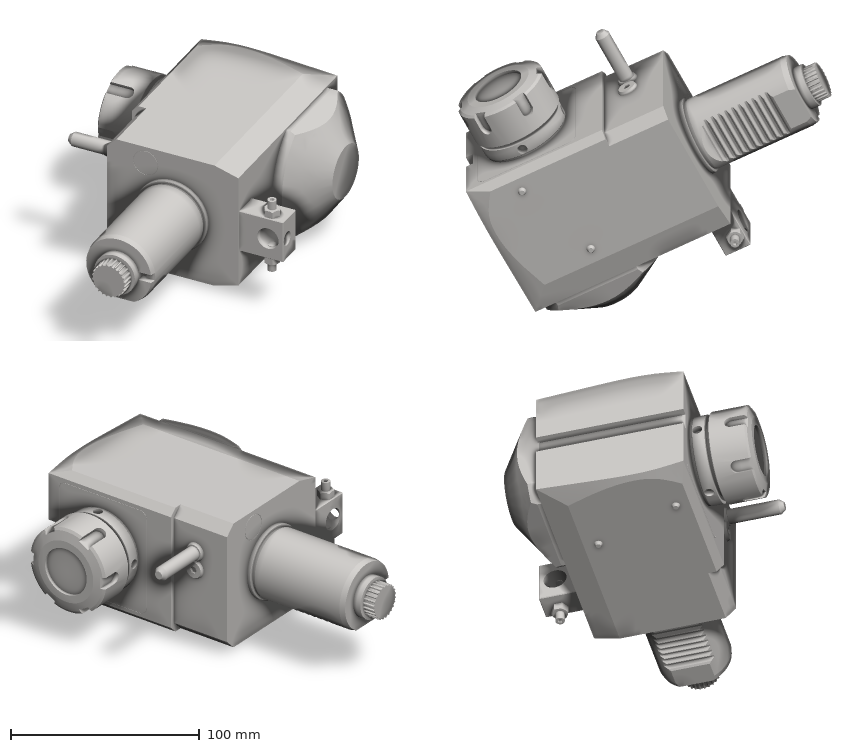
import cadquery as cq
import math


half_height = 37.5
rear_left, block_right = -42.0, 39.0
front_left = -39.2
rear_face = 116.0
step_y = 35.0
front_chamfer = 5.7
rear_chamfer = 4.0
taper_start_x = 24.8
shoulder_z = half_height - rear_chamfer
rounding_run = 12.6
top_back_curve = [(-32.7, 107.0), (-24.8, 110.8), (-14.1, 112.3), (2.0, 110.4), (12.5, 107.5)]
low_back_curve = [(-36.3, 119.2), (-27.7, 123.2), (-15.3, 125.0), (4.8, 123.0), (19.1, 120.3)]
notch_width, notch_depth = 10.5, 4.4
panel_length, panel_height, panel_radius = 58.3, 62.6, 4.8
panel_center_y = 79.8
line_width, line_depth = 0.4, 0.2
plug_x, plug_z, plug_radius = -16.0, 27.7, 7.5

spindle_y = 80.0
nut_tip_x, nut_face_radius = -74.7, 18.1
nut_bevel_x, nut_bevel_radius = -73.3, 23.5
nut_rim_x = -72.4
nut_radius = 25.0
nut_end_x = -52.5
neck_radius = 20.2
collar_start_x, collar_end_x, collar_radius = -50.2, -43.2, 24.0
bore_radius, bore_depth = 13.8, 2.0
slot_width, slot_floor_radius = 6.9, 22.0
slot_end_x, long_slot_end_x = -61.5, -57.5
nut_edge, collar_edge = 0.4, 0.4
wrench_hole_count, wrench_hole_radius, wrench_hole_x, wrench_hole_depth = 4, 2.7, -46.5, 3.8

cap_radius, cap_tip_radius = 40.3, 15.5
cap_rim_x, cap_tip_x = 44.7, 62.0
cap_trim_y = 112.1
cap_trim_x, cap_trim_z, cap_trim_slope = 41.5, 32.5, 0.28

shank_radius = 20.0
shank_end = -63.2
flange_radius, flange_end, flange_edge = 21.4, -2.3, 0.4
relief_radius, relief_end = 19.7, -4.0
shank_chamfer_length, shank_end_radius = 3.2, 19.3
boss_radius, boss_end = 12.0, -68.0
spline_root_radius, spline_tip_radius, spline_end = 9.2, 10.0, -75.0
spline_count = 24
root_share, tip_share = 0.5, 0.2
rack_z, rack_floor_z, rack_end_z = -16.2, -14.5, -17.0
rack_start, rack_end = -9.0, -50.6
rack_pitch, rack_count, first_gap_y = 4.0, 10, -11.7
gap_floor_width, gap_mouth_width = 1.1, 3.6
key_width, key_depth, key_step_x, key_step_depth = 4.8, 3.2, 14.9, 1.5

side_y = 21.0
pin_z, pin_radius, pin_tip_x, pin_tip_radius = 16.0, 4.0, -71.6, 2.3
pin_chamfer = 2.5
seat_radius, seat_top_radius, seat_height = 5.5, 4.8, 1.7
screw_z = 5.7
screw_socket, screw_socket_depth = 4.2, 1.3

bracket_right, bracket_near, bracket_far = 65.0, 1.1, 16.0
bracket_half_height = 12.5
bracket_edge = 0.4
bracket_bore_x, bracket_bore_radius = 56.0, 6.3
cross_hole_radius = 4.0
set_screw_y, set_screw_radius, set_screw_bottom, set_screw_top = 6.0, 2.5, 6.0, 21.8
lock_nut_corners, lock_nut_height, lock_nut_chamfer = 9.4, 4.2, 0.5
set_screw_socket, set_screw_socket_depth = 2.7, 2.0

stud_places = [(-30.4, 88.5), (16.8, 71.6)]
stud_radius, stud_tip_radius, stud_height = 2.3, 1.3, 1.7

embed = 1.0


def turned_x(points, y, z):
    """Revolve (x, radius) points about a line parallel to X."""
    outline = [(points[0][0], 0)] + points + [(points[-1][0], 0)]
    return cq.Workplane("XY", origin=(0, y, z)).polyline(outline).close().revolve(360, (0, 0, 0), (1, 0, 0))


def turned_y(points):
    """Revolve (radius, y) points about the shank axis."""
    outline = [(0, points[0][1])] + points + [(0, points[-1][1])]
    return cq.Workplane("XY").polyline(outline).close().revolve(360, (0, 0, 0), (0, 1, 0))


def box(x0, x1, y0, y1, z0, z1):
    return cq.Workplane("XY").box(x1 - x0, y1 - y0, z1 - z0, centered=False).translate((x0, y0, z0))


def rounded_slab():
    """Top slab of the rear housing: chamfered left, tapered right, rounded at the back."""
    chamfer_x = rear_left + rear_chamfer
    top_back_end = taper_start_x, rear_face - rounding_run
    return (
        cq.Workplane("XY", origin=(0, 0, shoulder_z))
        .moveTo(rear_left, step_y)
        .lineTo(rear_left, rear_face)
        .spline(low_back_curve + [(block_right, rear_face)], includeCurrent=True)
        .lineTo(block_right, step_y)
        .close()
        .workplane(offset=rear_chamfer)
        .moveTo(chamfer_x, step_y)
        .lineTo(chamfer_x, rear_face - rounding_run)
        .spline(top_back_curve + [top_back_end], includeCurrent=True)
        .lineTo(taper_start_x, step_y)
        .close()
        .loft(ruled=True)
        .intersect(box(rear_left, block_right, step_y, rear_face, 0, half_height))
    )


def front_block():
    side = front_left + front_chamfer
    inner = half_height - front_chamfer
    return (
        cq.Workplane("XZ")
        .polyline([
            (front_left, -inner), (side, -half_height), (taper_start_x, -half_height),
            (block_right, -shoulder_z), (block_right, shoulder_z), (taper_start_x, half_height),
            (side, half_height), (front_left, inner),
        ])
        .close()
        .extrude(-step_y)
    )


def housing():
    top = rounded_slab()
    core = box(rear_left, block_right, step_y, rear_face, -shoulder_z, shoulder_z)
    body = front_block().union(core).union(top).union(top.mirror("XY"))
    notch = box(rear_left, block_right, rear_face - notch_depth, rear_face, -notch_width / 2, notch_width / 2)
    return body.cut(notch).cut(panel_line()).cut(plug_line())


def panel_line():
    """Thin rounded-rectangle groove around the spindle on the left face."""
    def plate(inset):
        return (
            cq.Workplane("YZ", origin=(rear_left, panel_center_y, 0))
            .rect(panel_length - 2 * inset, panel_height - 2 * inset)
            .extrude(line_depth)
            .edges("|X")
            .fillet(panel_radius - inset)
        )
    return plate(0).cut(plate(line_width))


def plug_line():
    """Thin ring groove around the plug in the front face."""
    return (
        cq.Workplane("XZ", origin=(plug_x, 0, plug_z))
        .circle(plug_radius)
        .circle(plug_radius - line_width)
        .extrude(-line_depth)
    )


def nut_slot(end_x):
    """Round-ended wrench slot at the top of the nut, open towards its tip."""
    return (
        cq.Workplane("XY", origin=(nut_tip_x, spindle_y, slot_floor_radius))
        .slot2D(2 * (end_x - nut_tip_x), slot_width)
        .extrude(nut_radius)
    )


def collet_nut():
    nut = turned_x([
        (nut_tip_x, nut_face_radius), (nut_bevel_x, nut_bevel_radius), (nut_rim_x, nut_radius),
        (nut_end_x - nut_edge, nut_radius), (nut_end_x, nut_radius - nut_edge), (nut_end_x, neck_radius),
        (collar_start_x, neck_radius), (collar_start_x, collar_radius),
        (collar_end_x - collar_edge, collar_radius), (collar_end_x, collar_radius - collar_edge),
        (rear_left + embed, collar_radius - collar_edge),
    ], spindle_y, 0)
    nut = nut.cut(turned_x([(nut_tip_x, bore_radius), (nut_tip_x + bore_depth, bore_radius)], spindle_y, 0))
    wrench_hole = (
        cq.Workplane("XY", origin=(wrench_hole_x, spindle_y, collar_radius - wrench_hole_depth))
        .circle(wrench_hole_radius)
        .extrude(2 * wrench_hole_depth)
    )
    axis = (0, spindle_y, 0), (1, spindle_y, 0)
    for angle in (-30, 30):
        nut = nut.cut(nut_slot(long_slot_end_x).rotate(*axis, angle))
    for angle in (90, 150, 210, 270):
        nut = nut.cut(nut_slot(slot_end_x).rotate(*axis, angle))
    for i in range(wrench_hole_count):
        nut = nut.cut(wrench_hole.rotate(*axis, i * 360 / wrench_hole_count))
    return nut


def rear_cap():
    start = block_right - embed
    cap = turned_x([
        (start, cap_radius), (cap_rim_x, cap_radius), (cap_tip_x, cap_tip_radius),
    ], spindle_y, 0)
    tip_z = cap_trim_z - cap_trim_slope * (cap_tip_x - cap_trim_x)
    envelope = (
        cq.Workplane("XZ")
        .polyline([
            (start, -cap_trim_z), (cap_trim_x, -cap_trim_z), (cap_tip_x, -tip_z),
            (cap_tip_x, tip_z), (cap_trim_x, cap_trim_z), (start, cap_trim_z),
        ])
        .close()
        .extrude(-cap_trim_y)
    )
    return cap.intersect(envelope)


def spline_shaft():
    """Toothed drive end of the shank."""
    pitch = 2 * math.pi / spline_count
    points = []
    for i in range(spline_count):
        for share, radius in (
            (-root_share / 2, spline_root_radius), (root_share / 2, spline_root_radius),
            (0.5 - tip_share / 2, spline_tip_radius), (0.5 + tip_share / 2, spline_tip_radius),
        ):
            angle = (i + share) * pitch
            points.append((radius * math.cos(angle), radius * math.sin(angle)))
    start = boss_end + embed
    return cq.Workplane("XZ", origin=(0, start, 0)).polyline(points).close().extrude(start - spline_end)


def rack_cut():
    """Toothed flat milled along the underside of the shank."""
    deep = -shank_radius - embed
    points = [(rack_start + rack_z - deep, deep), (rack_start, rack_z)]
    for i in range(rack_count):
        y = first_gap_y - i * rack_pitch
        points += [
            (y + gap_mouth_width / 2, rack_z), (y + gap_floor_width / 2, rack_floor_z),
            (y - gap_floor_width / 2, rack_floor_z), (y - gap_mouth_width / 2, rack_z),
        ]
    points += [(rack_end, rack_end_z), (shank_end, rack_end_z), (shank_end, deep)]
    return cq.Workplane("YZ").polyline(points).close().extrude(shank_radius, both=True)


def shank():
    body = turned_y([
        (flange_radius, embed), (flange_radius, flange_end + flange_edge),
        (flange_radius - flange_edge, flange_end), (relief_radius, flange_end),
        (relief_radius, relief_end), (shank_radius, relief_end),
        (shank_radius, shank_end + shank_chamfer_length), (shank_end_radius, shank_end),
        (boss_radius, shank_end), (boss_radius, boss_end),
    ])
    half_key = key_width / 2
    key = box(boss_radius, shank_radius, shank_end, shank_end + key_depth, -half_key, half_key)
    step_floor = shank_end + key_depth + key_step_depth
    key_step = box(boss_radius, key_step_x, shank_end, step_floor, -half_key, half_key)
    return body.cut(rack_cut()).cut(key).cut(key_step).union(spline_shaft())


def seat(z):
    return turned_x([
        (front_left - seat_height, seat_top_radius), (front_left, seat_radius), (front_left + embed, seat_radius),
    ], side_y, z)


def pin():
    return turned_x([
        (pin_tip_x, pin_tip_radius), (pin_tip_x + pin_chamfer, pin_radius), (front_left, pin_radius),
    ], side_y, pin_z).union(seat(pin_z))


def side_screw():
    socket = (
        cq.Workplane("YZ", origin=(front_left - seat_height, side_y, screw_z))
        .polygon(6, screw_socket)
        .extrude(screw_socket_depth)
    )
    return seat(screw_z).cut(socket)


def set_screw():
    """Upper set screw with its lock nut."""
    place = cq.Workplane("XY", origin=(bracket_bore_x, set_screw_y, 0))
    screw_length = set_screw_top - set_screw_bottom
    screw = place.workplane(offset=set_screw_bottom).circle(set_screw_radius).extrude(screw_length)
    seat_plane = place.workplane(offset=bracket_half_height)
    nut_round = seat_plane.circle(lock_nut_corners / 2).extrude(lock_nut_height)
    nut_round = nut_round.faces(">Z").chamfer(lock_nut_chamfer)
    nut = seat_plane.polygon(6, lock_nut_corners).extrude(lock_nut_height).intersect(nut_round)
    socket = place.workplane(offset=set_screw_top).polygon(6, set_screw_socket).extrude(-set_screw_socket_depth)
    return screw.union(nut).cut(socket)


def bracket():
    half = bracket_half_height
    plate = box(block_right - embed, bracket_right, bracket_near, bracket_far, -half, half)
    plate = plate.edges("not <X").chamfer(bracket_edge)
    bore = (
        cq.Workplane("XZ", origin=(bracket_bore_x, bracket_near, 0))
        .circle(bracket_bore_radius)
        .extrude(bracket_near - bracket_far)
    )
    cross_hole = (
        cq.Workplane("YZ", origin=(bracket_bore_x, set_screw_y, 0))
        .circle(cross_hole_radius)
        .extrude(bracket_right - bracket_bore_x)
    )
    screw = set_screw()
    return plate.cut(bore).cut(cross_hole).union(screw).union(screw.mirror("XY"))


def stud(x, y):
    return (
        cq.Workplane("XY", origin=(x, y, -half_height))
        .circle(stud_radius)
        .workplane(offset=-stud_height)
        .circle(stud_tip_radius)
        .loft()
    )


result = housing()
for piece in (collet_nut(), rear_cap(), shank(), pin(), side_screw(), bracket()):
    result = result.union(piece)
for stud_x, stud_y in stud_places:
    result = result.union(stud(stud_x, stud_y))